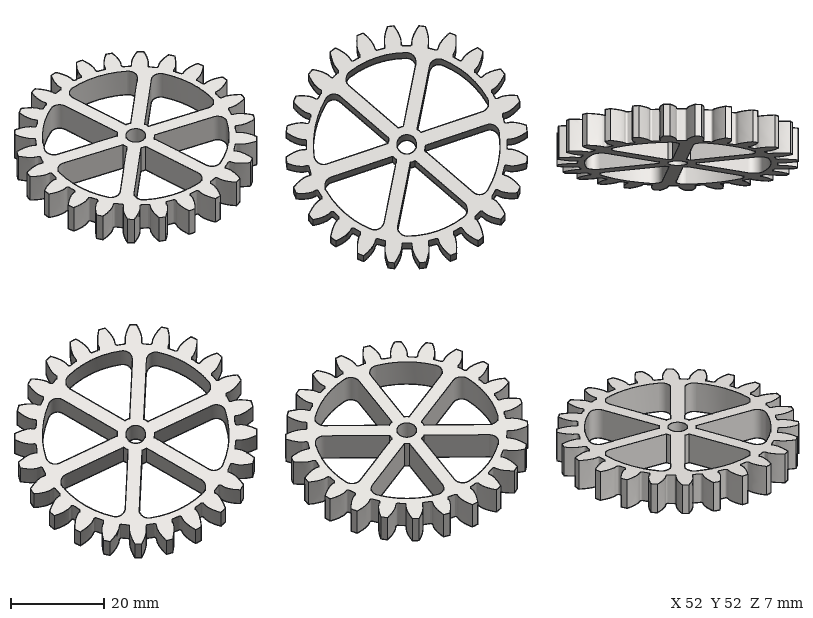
import cadquery as cq
import math

OVERALL_SIZE = 51.95
THICKNESS = 7.0
TOOTH_COUNT = 24
PRESSURE_ANGLE = math.radians(20.0)
ADDENDUM_FACTOR = 1.0
DEDENDUM_FACTOR = 1.25
FLANK_STEPS = 5
ROOT_FILLET = 0.4
EDGE_TOLERANCE = 0.005

BORE_DIAMETER = 4.2
SPOKE_COUNT = 6
SPOKE_WIDTH = 3.0
HUB_RADIUS = 4.0
RIM_INNER_RADIUS = 20.0
WINDOW_FILLET = 2.05


def involute(angle):
    return math.tan(angle) - angle


tooth_pitch = 2 * math.pi / TOOTH_COUNT
base_half_angle = tooth_pitch / 4 + involute(PRESSURE_ANGLE)
tip_to_pitch = 1 + 2 * ADDENDUM_FACTOR / TOOTH_COUNT
tip_pressure_angle = math.acos(math.cos(PRESSURE_ANGLE) / tip_to_pitch)
tip_half_angle = base_half_angle - involute(tip_pressure_angle)

first_tooth_angle = tooth_pitch / 4
tip_radius = OVERALL_SIZE / 2 / math.cos(first_tooth_angle - tip_half_angle)
pitch_radius = tip_radius / tip_to_pitch
module = 2 * pitch_radius / TOOTH_COUNT
base_radius = pitch_radius * math.cos(PRESSURE_ANGLE)
root_radius = pitch_radius - DEDENDUM_FACTOR * module


def polar(radius, angle):
    return (radius * math.cos(angle), radius * math.sin(angle))


def fillet_upright_edges(body, edge_radius, fillet_radius):
    """Round the vertical edges that stand at edge_radius from the Z axis."""
    def stands_at_radius(edge):
        middle = edge.Center()
        return abs(math.hypot(middle.x, middle.y) - edge_radius) < EDGE_TOLERANCE

    return body.edges("|Z").filter(stands_at_radius).fillet(fillet_radius)


def flank_points(center_angle, side):
    """Involute flank from base to tip; side is -1 or +1 about the tooth centre line."""
    points = []
    for step in range(FLANK_STEPS + 1):
        pressure = tip_pressure_angle * step / FLANK_STEPS
        half_angle = base_half_angle - involute(pressure)
        points.append(polar(base_radius / math.cos(pressure), center_angle + side * half_angle))
    return points


def make_toothed_disc():
    outline = cq.Workplane("XY").moveTo(*polar(root_radius, first_tooth_angle - base_half_angle))
    for tooth in range(TOOTH_COUNT):
        center = first_tooth_angle + tooth * tooth_pitch
        rising = flank_points(center, -1)
        falling = flank_points(center, 1)[::-1]
        outline = outline.lineTo(*rising[0])
        outline = outline.spline(rising[1:], includeCurrent=True)
        outline = outline.threePointArc(polar(tip_radius, center), falling[0])
        outline = outline.spline(falling[1:], includeCurrent=True)
        outline = outline.lineTo(*polar(root_radius, center + base_half_angle))
        outline = outline.threePointArc(
            polar(root_radius, center + tooth_pitch / 2),
            polar(root_radius, center + tooth_pitch - base_half_angle),
        )
    disc = outline.close().extrude(THICKNESS)
    return fillet_upright_edges(disc, root_radius, ROOT_FILLET)


def make_window():
    """Opening between the spoke on the X axis and the next spoke."""
    spoke_pitch = 2 * math.pi / SPOKE_COUNT
    half_width = SPOKE_WIDTH / 2
    inner_angle = math.asin(half_width / HUB_RADIUS)
    outer_angle = math.asin(half_width / RIM_INNER_RADIUS)
    window = (
        cq.Workplane("XY")
        .moveTo(*polar(HUB_RADIUS, inner_angle))
        .lineTo(*polar(RIM_INNER_RADIUS, outer_angle))
        .threePointArc(
            polar(RIM_INNER_RADIUS, spoke_pitch / 2),
            polar(RIM_INNER_RADIUS, spoke_pitch - outer_angle),
        )
        .lineTo(*polar(HUB_RADIUS, spoke_pitch - inner_angle))
        .threePointArc(
            polar(HUB_RADIUS, spoke_pitch / 2),
            polar(HUB_RADIUS, inner_angle),
        )
        .close()
        .extrude(THICKNESS)
    )
    return fillet_upright_edges(window, RIM_INNER_RADIUS, WINDOW_FILLET)


result = make_toothed_disc()
window = make_window()
for spoke in range(SPOKE_COUNT):
    result = result.cut(window.rotate((0, 0, 0), (0, 0, 1), spoke * 360 / SPOKE_COUNT))
result = result.faces(">Z").workplane(origin=(0, 0, 0)).hole(BORE_DIAMETER)